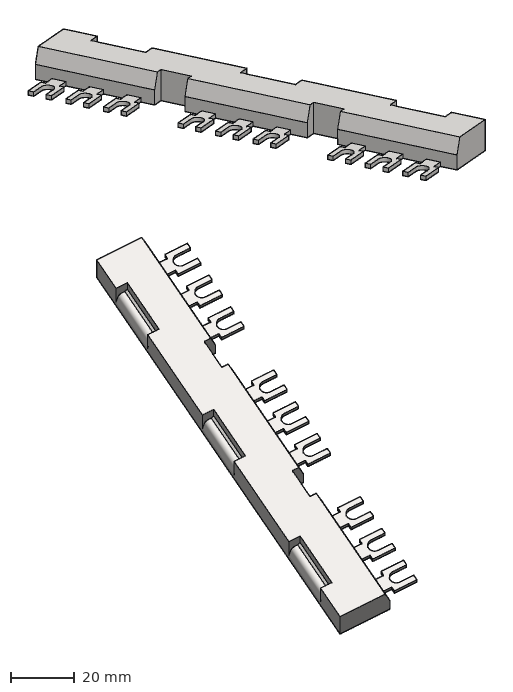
import cadquery as cq
import math

length = 152.0
housing_depth = 18.2
height = 10.6
bevel_depth = 1.8
bevel_base_height = 5.2

module_count = 3
module_pitch = 54.0
forks_per_module = 3
fork_pitch = 13.5

gap_pitch = 55.0
gap_width = 11.0
gap_depth = 4.1

fork_reach = 12.3
fork_thickness = 1.5
fork_width = 8.4
stem_width = 5.0
stem_length = 4.1
slot_width = 4.4
slot_start = 5.0

pocket_width = 19.8
pocket_depth = 4.1
entry_slope_depth = 0.9
entry_slope_drop = 0.6
floor_width = 0.9
floor_height = 6.1
drop_radius = 1.7
drop_angle = 75

front_y = -housing_depth
fork_tip_y = front_y - fork_reach


def centred_positions(count, pitch):
    """Positions of evenly spaced items, centred on zero."""
    return [(i - (count - 1) / 2) * pitch for i in range(count)]


def make_housing():
    """Solid bar with a sloping upper front face; the rear face lies on Y = 0."""
    profile = [
        (0, 0),
        (front_y, 0),
        (front_y, bevel_base_height),
        (front_y + bevel_depth, height),
        (0, height),
    ]
    return cq.Workplane("YZ").polyline(profile).close().extrude(length / 2, both=True)


def make_gap(x):
    """Full-height notch in the front face."""
    return cq.Workplane("XY").box(
        gap_width, gap_depth, height, centered=(True, False, False)
    ).translate((x, front_y, 0))


def make_pocket(x):
    """Recess open to the top and rear, with a stepped and rounded bottom."""
    floor_front_y = -pocket_depth + entry_slope_depth
    floor_rear_y = floor_front_y + floor_width

    full_angle = math.radians(drop_angle)
    half_angle = full_angle / 2
    drop_middle = (
        floor_rear_y + drop_radius * math.sin(half_angle),
        floor_height - drop_radius * (1 - math.cos(half_angle)),
    )
    drop_end_y = floor_rear_y + drop_radius * math.sin(full_angle)
    drop_end_z = floor_height - drop_radius * (1 - math.cos(full_angle))
    rear_edge_z = drop_end_z + drop_end_y * math.tan(full_angle)
    return (
        cq.Workplane("YZ")
        .moveTo(0, height)
        .lineTo(-pocket_depth, height)
        .lineTo(-pocket_depth, floor_height + entry_slope_drop)
        .lineTo(floor_front_y, floor_height)
        .lineTo(floor_rear_y, floor_height)
        .threePointArc(drop_middle, (drop_end_y, drop_end_z))
        .lineTo(0, rear_edge_z)
        .close()
        .extrude(pocket_width / 2, both=True)
        .translate((x, 0, 0))
    )


def make_fork(x):
    """Flat terminal with a narrow stem and an open, round-ended slot."""
    shoulder_y = front_y - stem_length
    slot_radius = slot_width / 2
    arc_y = front_y - slot_start - slot_radius
    return (
        cq.Workplane("XY")
        .moveTo(-stem_width / 2, front_y)
        .lineTo(-stem_width / 2, shoulder_y)
        .lineTo(-fork_width / 2, shoulder_y)
        .lineTo(-fork_width / 2, fork_tip_y)
        .lineTo(-slot_radius, fork_tip_y)
        .lineTo(-slot_radius, arc_y)
        .threePointArc((0, arc_y + slot_radius), (slot_radius, arc_y))
        .lineTo(slot_radius, fork_tip_y)
        .lineTo(fork_width / 2, fork_tip_y)
        .lineTo(fork_width / 2, shoulder_y)
        .lineTo(stem_width / 2, shoulder_y)
        .lineTo(stem_width / 2, front_y)
        .close()
        .extrude(fork_thickness)
        .translate((x, 0, 0))
    )


result = make_housing()

for gap_x in centred_positions(module_count - 1, gap_pitch):
    result = result.cut(make_gap(gap_x))

for module_x in centred_positions(module_count, module_pitch):
    result = result.cut(make_pocket(module_x))
    for fork_offset in centred_positions(forks_per_module, fork_pitch):
        result = result.union(make_fork(module_x + fork_offset))